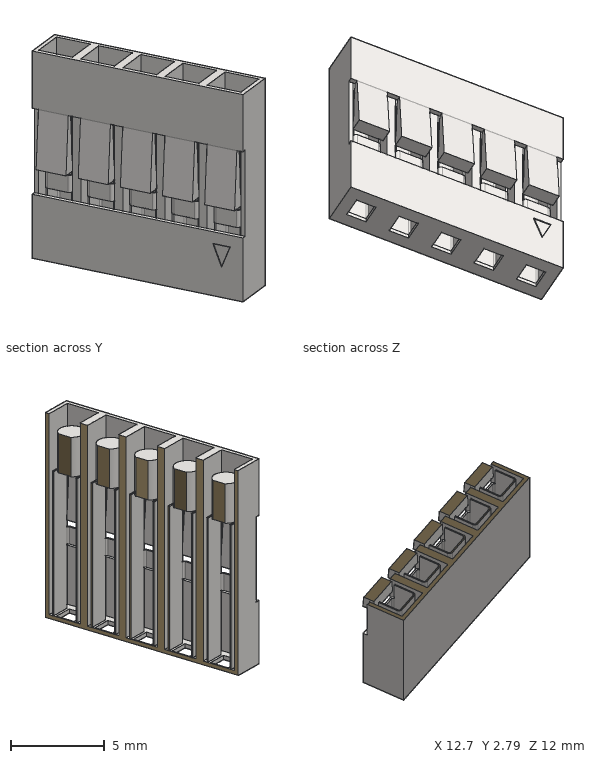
import cadquery as cq

CELL_COUNT = 5
PITCH = 2.54
HOUSING_HEIGHT = 12.0
WALL = 0.25
HOUSING_LENGTH = CELL_COUNT * PITCH
HOUSING_DEPTH = PITCH
CAVITY_SIDE = PITCH - 2 * WALL
FLOOR_TOP_Z = WALL
PIN_HOLE_SIDE = 1.15
FRONT_Y = -HOUSING_DEPTH / 2
WALL_INNER_Y = FRONT_Y + WALL

WINDOW_BOTTOM_Z = 3.71
WINDOW_TOP_Z = 8.69

TUBE_WIDTH = 1.65
TUBE_DEPTH = 1.55
TUBE_WALL = 0.1
TUBE_CORNER_RADIUS = 2 * TUBE_WALL
TUBE_TOP_Z = WINDOW_TOP_Z
BRIDGE_BOTTOM_Z = 4.0
BRIDGE_TOP_Z = 5.0
BARREL_DIAMETER = 1.5
BARREL_TOP_Z = HOUSING_HEIGHT - 1.0

LATCH_WIDTH = 1.8
LATCH_BOTTOM_Z = 5.3
LATCH_PROJECTION = 0.25
LATCH_INNER_Y = -TUBE_DEPTH / 2

MARK_WIDTH = 1.02
MARK_TOP_Z = 3.04
MARK_HEIGHT = 1.25
MARK_RELIEF = 0.05

CELL_CENTERS = [(i - (CELL_COUNT - 1) / 2) * PITCH for i in range(CELL_COUNT)]


def upright_block(width, depth, bottom_z, top_z):
    """Rectangular block centred on the Z axis between two heights."""
    return cq.Workplane("XY").workplane(offset=bottom_z).rect(width, depth).extrude(top_z - bottom_z)


def make_latch(center_x):
    """Tongue joined to the wall above the window, tapering outward and inward on its way down."""
    profile = [
        (WALL_INNER_Y, WINDOW_TOP_Z),
        (FRONT_Y, WINDOW_TOP_Z),
        (FRONT_Y - LATCH_PROJECTION, LATCH_BOTTOM_Z),
        (LATCH_INNER_Y, LATCH_BOTTOM_Z),
    ]
    latch = cq.Workplane("YZ").polyline(profile).close().extrude(LATCH_WIDTH / 2, both=True)
    return latch.translate((center_x, 0, 0))


def make_mark(center_x):
    """Triangular prism standing proud of the front face."""
    outline = [
        (center_x - MARK_WIDTH / 2, MARK_TOP_Z),
        (center_x + MARK_WIDTH / 2, MARK_TOP_Z),
        (center_x, MARK_TOP_Z - MARK_HEIGHT),
    ]
    return cq.Workplane("XZ", origin=(0, FRONT_Y, 0)).polyline(outline).close().extrude(MARK_RELIEF)


def make_housing():
    housing = upright_block(HOUSING_LENGTH, HOUSING_DEPTH, 0, HOUSING_HEIGHT)

    window = upright_block(HOUSING_LENGTH, WALL, WINDOW_BOTTOM_Z, WINDOW_TOP_Z)
    housing = housing.cut(window.translate((0, FRONT_Y + WALL / 2, 0)))

    cavity = upright_block(CAVITY_SIDE, CAVITY_SIDE, FLOOR_TOP_Z, HOUSING_HEIGHT)
    pin_hole = upright_block(PIN_HOLE_SIDE, PIN_HOLE_SIDE, 0, FLOOR_TOP_Z)
    cell_opening = cavity.union(pin_hole)
    for center_x in CELL_CENTERS:
        housing = housing.cut(cell_opening.translate((center_x, 0, 0)))

    for center_x in CELL_CENTERS:
        housing = housing.union(make_latch(center_x))
    return housing.union(make_mark(CELL_CENTERS[-1]))


def make_contact(center_x):
    tube = upright_block(TUBE_WIDTH, TUBE_DEPTH, FLOOR_TOP_Z, TUBE_TOP_Z)
    tube = tube.edges("|Z").fillet(TUBE_CORNER_RADIUS)
    bore = upright_block(TUBE_WIDTH - 2 * TUBE_WALL, TUBE_DEPTH - 2 * TUBE_WALL, FLOOR_TOP_Z, TUBE_TOP_Z)
    bore = bore.edges("|Z").fillet(TUBE_CORNER_RADIUS - TUBE_WALL)
    tube = tube.cut(bore)

    opening_y = -TUBE_DEPTH / 2 + TUBE_CORNER_RADIUS / 2
    for bottom_z, top_z in [(FLOOR_TOP_Z, BRIDGE_BOTTOM_Z), (BRIDGE_TOP_Z, TUBE_TOP_Z)]:
        opening = upright_block(TUBE_WIDTH, TUBE_CORNER_RADIUS, bottom_z, top_z)
        tube = tube.cut(opening.translate((0, opening_y, 0)))

    barrel = cq.Workplane("XY").workplane(offset=TUBE_TOP_Z).circle(BARREL_DIAMETER / 2)
    barrel = barrel.extrude(BARREL_TOP_Z - TUBE_TOP_Z)
    return tube.union(barrel).translate((center_x, 0, 0))


housing = make_housing()
contacts = [make_contact(center_x) for center_x in CELL_CENTERS]

result = cq.Compound.makeCompound([housing.val(), *[contact.val() for contact in contacts]])